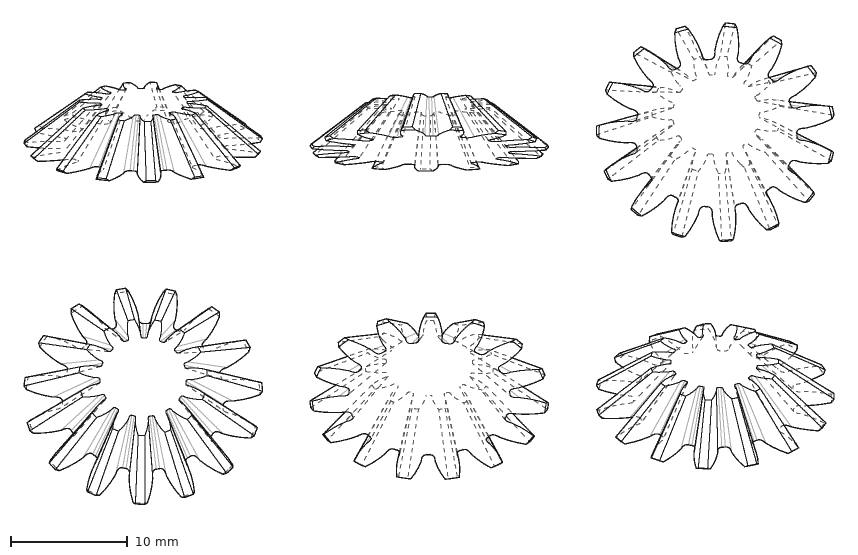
import cadquery as cq
import math

tooth_count = 15
height = 4.0
half_pitch_angle = math.pi / tooth_count

crest_radius_top = 5.5
outer_radius = 10.26
back_cone_height = 0.24
crest_slope = (outer_radius - crest_radius_top) / (height - back_cone_height)
crest_radius_base = crest_radius_top + crest_slope * height
back_radius_base = outer_radius - back_cone_height

small_end = {
    "z": height,
    "crest_radius": crest_radius_top,
    "crest_half_width": 0.286,
    "root_radius": 3.71,
    "root_half_width": 0.11,
    "fillet_end": (3.86, 0.273),
    "flank_start": (4.1, 0.3),
    "flank_middle": (4.75, 0.51),
}
large_end = {
    "z": 0.0,
    "crest_radius": crest_radius_base,
    "crest_half_width": 0.413,
    "root_radius": 6.93,
    "root_half_width": 0.15,
    "fillet_end": (7.275, 0.535),
    "flank_start": (7.7, 0.59),
    "flank_middle": (8.85, 0.96),
}


def polar(radius, angle):
    return (radius * math.cos(angle), radius * math.sin(angle))


def rotated(point, angle):
    x, y = point
    return (
        x * math.cos(angle) - y * math.sin(angle),
        x * math.sin(angle) + y * math.cos(angle),
    )


def mirrored(point):
    return (point[0], -point[1])


def arc_middle(root_corner, fillet_end):
    """Middle of the arc that leaves the root line tangentially and ends at fillet_end."""
    along = fillet_end[0] - root_corner[0]
    across = fillet_end[1] - root_corner[1]
    radius = (along**2 + across**2) / (2 * along)
    half_sweep = math.atan2(across, radius - along) / 2
    return (
        root_corner[0] + radius * (1 - math.cos(half_sweep)),
        root_corner[1] + radius * math.sin(half_sweep),
    )


def gear_wire(end):
    """Closed outline of all teeth at one end of the gear."""
    crest_radius = end["crest_radius"]
    crest_half_angle = math.asin(end["crest_half_width"] / crest_radius)
    crest_corner = polar(crest_radius, half_pitch_angle - crest_half_angle)
    crest_middle = polar(crest_radius, half_pitch_angle)
    next_crest_corner = rotated(mirrored(crest_corner), 2 * half_pitch_angle)
    root_corner = (end["root_radius"], end["root_half_width"])
    fillet_end = end["fillet_end"]
    flank_start = end["flank_start"]
    flank_middle = end["flank_middle"]
    fillet = [root_corner, arc_middle(root_corner, fillet_end), fillet_end, flank_start]

    outline = cq.Workplane("XY").workplane(offset=end["z"])
    outline = outline.moveTo(*rotated(mirrored(crest_corner), half_pitch_angle))
    for index in range(tooth_count):
        gap_angle = half_pitch_angle * (2 * index + 1)

        def place(point):
            return rotated(point, gap_angle)

        outline = (
            outline.threePointArc(place(mirrored(flank_middle)), place(mirrored(flank_start)))
            .spline([place(mirrored(point)) for point in reversed(fillet[:-1])], includeCurrent=True)
            .lineTo(*place(root_corner))
            .spline([place(point) for point in fillet[1:]], includeCurrent=True)
            .threePointArc(place(flank_middle), place(crest_corner))
            .threePointArc(place(crest_middle), place(next_crest_corner))
        )
    return outline.close().val()


def toothed_body():
    """Straight-sided body between the large-end and small-end outlines."""
    return cq.Workplane(cq.Solid.makeLoft([gear_wire(large_end), gear_wire(small_end)], True))


def back_cone_envelope():
    """Cone that widens at 45 degrees from the base and trims the heels of the teeth."""
    return cq.Workplane(cq.Solid.makeCone(back_radius_base, back_radius_base + height, height))


result = toothed_body().intersect(back_cone_envelope())